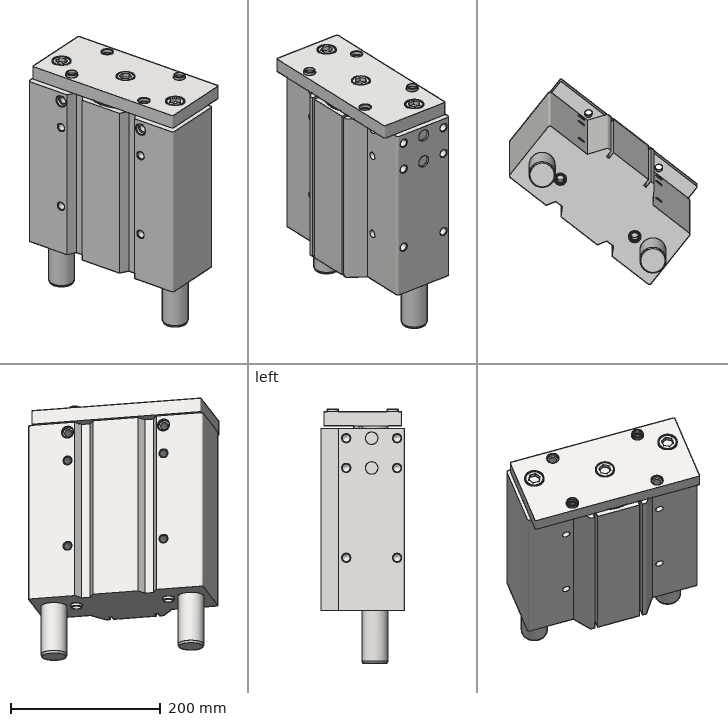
import cadquery as cq
import math

OVERALL_HEIGHT = 340.0

HOUSING_WIDTH = 240.0
HOUSING_DEPTH = 112.0
HOUSING_BOTTOM = 70.5
HOUSING_TOP = 314.0
CORNER_RADIUS = 3.0
FRONT_Y = -HOUSING_DEPTH / 2
BACK_Y = HOUSING_DEPTH / 2
SIDE_X = HOUSING_WIDTH / 2

SHOULDER_Y = 32.5
RIDGE_HALF_WIDTH = 39.5
FLANK_ANGLE = 55.0
SENSOR_SLOT_WIDTH = 4.0
SENSOR_SLOT_DEPTH = 10.2
SENSOR_SLOT_X = 31.5

CHANNEL_X = 43.5
CHANNEL_MOUTH_WIDTH = 25.0
CHANNEL_FLOOR_WIDTH = 11.5
CHANNEL_DEPTH = 12.0

TOP_GROOVE_OUTER_DIAMETER = 102.0
TOP_GROOVE_INNER_DIAMETER = 100.0
TOP_GROOVE_DEPTH = 2.0

HOLE_LEVELS = (141.0, 261.0, 300.8)
THREAD_DIAMETER = 10.2
THREAD_MOUTH_DIAMETER = 12.2
SIDE_THREAD_DIAMETER = 10.5
SIDE_THREAD_DEPTH = 20.5
DRILL_TIP_ANGLE = 118.0
SIDE_HOLE_OFFSET = 34.0
SIDE_CENTER_Y = -12.0
FRONT_HOLE_X = 66.0

PORT_DIAMETER = 16.5
PORT_DEPTH = 7.5
PLUG_RECESS = 3.0

SLEEVE_DIAMETER = 15.0
SLEEVE_BORE = 12.2
SLEEVE_PROJECTION = 3.7
SLEEVE_CHAMFER = 0.7
SEAT_MOUTH_DIAMETER = 16.5
SEAT_DEPTH = 5.0
BOTTOM_SLEEVE_X = 63.2
BOTTOM_THREAD_DEPTH = 20.5

PLATE_WIDTH = 232.5
PLATE_DEPTH = 104.0
PLATE_TOP = OVERALL_HEIGHT - SLEEVE_PROJECTION
PLATE_BOTTOM = 317.0
PLATE_CORNER_RADIUS = 1.7
PLATE_HOLE_X = 59.8
PLATE_HOLE_Y = 40.0
PISTON_ROD_DIAMETER = 24.0
PISTON_ROD_END = 178.0
FLAT_WIDTH = 21.8
FLAT_TOP_GAP = 1.0
GUIDE_ROD_DIAMETER = 35.0
GUIDE_ROD_X = 94.0
GUIDE_ROD_Y = -16.3
GUIDE_ROD_CHAMFER_LENGTH = 3.0
GUIDE_ROD_CHAMFER_WIDTH = 1.5

SCREW_HEAD_DIAMETER = 24.0
SCREW_TOP_DIAMETER = 22.8
GUIDE_SCREW_BORE = 26.0
PISTON_SCREW_BORE = 25.0
SCREW_GAP_DEPTH = 2.0
SOCKET_WIDTH = 14.0
SOCKET_DEPTH = 5.5

SIDES = (-1, 1)
GUIDE_ROD_POINTS = [(side * GUIDE_ROD_X, GUIDE_ROD_Y) for side in SIDES]
PLATE_HOLE_POINTS = [(i * PLATE_HOLE_X, j * PLATE_HOLE_Y) for i in SIDES for j in SIDES]
PLATE_SLEEVE_POINTS = [(side * PLATE_HOLE_X, side * PLATE_HOLE_Y) for side in SIDES]
BOTTOM_SLEEVE_POINTS = [(side * BOTTOM_SLEEVE_X, GUIDE_ROD_Y) for side in SIDES]
SCREW_POINTS = [GUIDE_ROD_POINTS[0], (0, 0), GUIDE_ROD_POINTS[1]]
SOCKET_TURNS = (30, 30, 0)
PORT_LEVELS = HOLE_LEVELS[1:]

UP = cq.Vector(0, 0, 1)
DOWN = cq.Vector(0, 0, -1)
TO_BACK = cq.Vector(0, 1, 0)
TO_RIGHT = cq.Vector(1, 0, 0)


def cylinder(diameter, length, start, direction):
    return cq.Workplane(cq.Solid.makeCylinder(diameter / 2, length, cq.Vector(*start), direction))


def cone(start_diameter, end_diameter, length, start, direction):
    return cq.Workplane(
        cq.Solid.makeCone(start_diameter / 2, end_diameter / 2, length, cq.Vector(*start), direction)
    )


def chamfered_hole(diameter, mouth_diameter, depth, start, direction):
    """Cutter for a straight hole whose mouth has a 45-degree chamfer."""
    chamfer = cone(mouth_diameter, diameter, (mouth_diameter - diameter) / 2, start, direction)
    return cylinder(diameter, depth, start, direction).union(chamfer)


def drilled_hole(diameter, mouth_diameter, depth, start, direction):
    """Cutter for a chamfered blind hole that ends in a drill tip."""
    tip_length = diameter / 2 / math.tan(math.radians(DRILL_TIP_ANGLE / 2))
    tip_start = cq.Vector(*start) + direction * depth
    tip = cone(diameter, 0, tip_length, tip_start.toTuple(), direction)
    return chamfered_hole(diameter, mouth_diameter, depth, start, direction).union(tip)


def sleeve_seat(start, direction):
    """Cutter for the chamfered counterbore that holds a sleeve."""
    return chamfered_hole(SLEEVE_DIAMETER, SEAT_MOUTH_DIAMETER, SEAT_DEPTH, start, direction)


def housing_blank():
    flank_foot_x = RIDGE_HALF_WIDTH + (BACK_Y - SHOULDER_Y) / math.tan(math.radians(FLANK_ANGLE))
    outline = [
        (-SIDE_X, FRONT_Y),
        (SIDE_X, FRONT_Y),
        (SIDE_X, SHOULDER_Y),
        (flank_foot_x, SHOULDER_Y),
        (RIDGE_HALF_WIDTH, BACK_Y),
        (-RIDGE_HALF_WIDTH, BACK_Y),
        (-flank_foot_x, SHOULDER_Y),
        (-SIDE_X, SHOULDER_Y),
    ]
    blank = (
        cq.Workplane("XY")
        .workplane(offset=HOUSING_BOTTOM)
        .polyline(outline)
        .close()
        .extrude(HOUSING_TOP - HOUSING_BOTTOM)
    )
    outer_edges = blank.edges("|Z and (<X or >X)")
    ridge_edges = blank.faces(">Y").edges("|Z")
    return blank.newObject(outer_edges.vals() + ridge_edges.vals()).fillet(CORNER_RADIUS)


def front_channel(center_x):
    half_mouth = CHANNEL_MOUTH_WIDTH / 2
    half_floor = CHANNEL_FLOOR_WIDTH / 2
    outline = [
        (center_x - half_mouth, FRONT_Y),
        (center_x + half_mouth, FRONT_Y),
        (center_x + half_floor, FRONT_Y + CHANNEL_DEPTH),
        (center_x - half_floor, FRONT_Y + CHANNEL_DEPTH),
    ]
    return cq.Workplane("XY").polyline(outline).close().extrude(HOUSING_TOP)


def sensor_slot(center_x):
    return cq.Workplane("XY").box(
        SENSOR_SLOT_WIDTH, 2 * SENSOR_SLOT_DEPTH, 2 * HOUSING_TOP
    ).translate((center_x, BACK_Y, HOUSING_TOP))


def front_through_hole(center_x, level):
    start = (center_x, FRONT_Y, level)
    hole = chamfered_hole(THREAD_DIAMETER, THREAD_MOUTH_DIAMETER, HOUSING_DEPTH, start, TO_BACK)
    if level == max(HOLE_LEVELS):
        hole = hole.union(sleeve_seat(start, TO_BACK))
    return hole


def side_thread(center_y, level):
    return drilled_hole(
        SIDE_THREAD_DIAMETER, THREAD_MOUTH_DIAMETER, SIDE_THREAD_DEPTH, (-SIDE_X, center_y, level), TO_RIGHT
    )


def bottom_sleeve_hole(x, y):
    start = (x, y, HOUSING_BOTTOM)
    return cylinder(THREAD_DIAMETER, BOTTOM_THREAD_DEPTH, start, UP).union(sleeve_seat(start, UP))


def top_groove():
    groove_bottom = (0, 0, HOUSING_TOP - TOP_GROOVE_DEPTH)
    core = cylinder(TOP_GROOVE_INNER_DIAMETER, TOP_GROOVE_DEPTH, groove_bottom, UP)
    return cylinder(TOP_GROOVE_OUTER_DIAMETER, TOP_GROOVE_DEPTH, groove_bottom, UP).cut(core)


def make_housing():
    housing = housing_blank()
    for side in SIDES:
        housing = housing.cut(front_channel(side * CHANNEL_X))
        housing = housing.cut(sensor_slot(side * SENSOR_SLOT_X))
        for level in HOLE_LEVELS:
            housing = housing.cut(front_through_hole(side * FRONT_HOLE_X, level))
            housing = housing.cut(side_thread(SIDE_CENTER_Y + side * SIDE_HOLE_OFFSET, level))
    for level in PORT_LEVELS:
        housing = housing.cut(cylinder(PORT_DIAMETER, PORT_DEPTH, (-SIDE_X, SIDE_CENTER_Y, level), TO_RIGHT))
    for x, y in BOTTOM_SLEEVE_POINTS:
        housing = housing.cut(bottom_sleeve_hole(x, y))
    for x, y in GUIDE_ROD_POINTS:
        housing = housing.cut(cylinder(GUIDE_ROD_DIAMETER, HOUSING_TOP, (x, y, 0), UP))
    piston_bore = cylinder(PISTON_ROD_DIAMETER, HOUSING_TOP - PISTON_ROD_END, (0, 0, PISTON_ROD_END), UP)
    return housing.cut(piston_bore).cut(top_groove())


def piston_rod():
    """Round rod with two wrench flats, facing along X, in the gap between plate and housing."""
    flat_top = PLATE_BOTTOM - FLAT_TOP_GAP
    rod = cylinder(PISTON_ROD_DIAMETER, PLATE_BOTTOM - PISTON_ROD_END, (0, 0, PISTON_ROD_END), UP)
    for side in SIDES:
        flat = cq.Workplane("XY").box(PISTON_ROD_DIAMETER, PISTON_ROD_DIAMETER, flat_top - HOUSING_TOP)
        flat_center_x = side * (FLAT_WIDTH + PISTON_ROD_DIAMETER) / 2
        rod = rod.cut(flat.translate((flat_center_x, 0, (flat_top + HOUSING_TOP) / 2)))
    return rod


def guide_rod(x, y):
    rod = cylinder(GUIDE_ROD_DIAMETER, PLATE_BOTTOM, (x, y, 0), UP)
    return rod.faces("<Z").chamfer(GUIDE_ROD_CHAMFER_LENGTH, GUIDE_ROD_CHAMFER_WIDTH)


def screw_gap(x, y, bore_diameter):
    """Cutter for the ring gap between a tapered screw head and its bore in the plate."""
    gap_bottom = PLATE_TOP - SCREW_GAP_DEPTH
    bore = cylinder(bore_diameter, SCREW_GAP_DEPTH, (x, y, gap_bottom), UP)
    return bore.cut(cone(SCREW_HEAD_DIAMETER, SCREW_TOP_DIAMETER, SCREW_GAP_DEPTH, (x, y, gap_bottom), UP))


def screw_socket(x, y, turn):
    """Cutter for a hexagon socket; at zero turn two of its corners point along X."""
    across_corners = SOCKET_WIDTH / math.cos(math.pi / 6)
    socket = cq.Workplane("XY").polygon(6, across_corners).extrude(-SOCKET_DEPTH)
    return socket.rotate((0, 0, 0), (0, 0, 1), turn).translate((x, y, PLATE_TOP))


def make_moving_unit():
    """End plate together with its piston rod, guide rods and screws."""
    unit = (
        cq.Workplane("XY")
        .workplane(offset=PLATE_BOTTOM)
        .rect(PLATE_WIDTH, PLATE_DEPTH)
        .extrude(PLATE_TOP - PLATE_BOTTOM)
        .edges("|Z")
        .fillet(PLATE_CORNER_RADIUS)
    )
    for x, y in PLATE_HOLE_POINTS:
        start = (x, y, PLATE_TOP)
        unit = unit.cut(cylinder(THREAD_DIAMETER, PLATE_TOP - PLATE_BOTTOM, start, DOWN))
        unit = unit.cut(sleeve_seat(start, DOWN))
    for x, y in GUIDE_ROD_POINTS:
        unit = unit.union(guide_rod(x, y)).cut(screw_gap(x, y, GUIDE_SCREW_BORE))
    unit = unit.union(piston_rod()).cut(screw_gap(0, 0, PISTON_SCREW_BORE))
    for (x, y), turn in zip(SCREW_POINTS, SOCKET_TURNS):
        unit = unit.cut(screw_socket(x, y, turn))
    return unit


def make_plug(level):
    start = (-SIDE_X + PLUG_RECESS, SIDE_CENTER_Y, level)
    return cylinder(PORT_DIAMETER, PORT_DEPTH - PLUG_RECESS, start, TO_RIGHT)


def make_sleeve(x, y, bottom):
    """Tube with a chamfer around the outside of both ends."""
    length = SEAT_DEPTH + SLEEVE_PROJECTION
    tube = cylinder(SLEEVE_DIAMETER, length, (x, y, bottom), UP)
    tube = tube.faces("<Z or >Z").edges().chamfer(SLEEVE_CHAMFER)
    return tube.cut(cylinder(SLEEVE_BORE, length, (x, y, bottom), UP))


housing = make_housing()
moving_unit = make_moving_unit()
port_plugs = [make_plug(level) for level in PORT_LEVELS]
plate_sleeves = [make_sleeve(x, y, PLATE_TOP - SEAT_DEPTH) for x, y in PLATE_SLEEVE_POINTS]
bottom_sleeves = [make_sleeve(x, y, HOUSING_BOTTOM - SLEEVE_PROJECTION) for x, y in BOTTOM_SLEEVE_POINTS]

bodies = [housing, moving_unit, *port_plugs, *plate_sleeves, *bottom_sleeves]
result = cq.Compound.makeCompound([body.solids().val() for body in bodies])